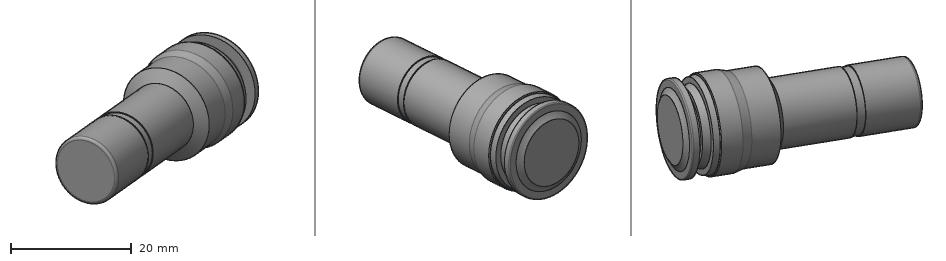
import cadquery as cq

length = 42.65

stem_radius = 6.0
stem_end_round = 0.5
groove_start = 10.2
groove_end = 11.75
groove_depth = 0.15

body_radius = 8.75
body_front_radius = 8.27
shoulder_start = 24.82
shoulder_end = 26.15
body_flare_start = 31.3
body_flare_end = 33.05
body_end = 37.0
body_end_chamfer = 0.15

cap_end = 38.15
cap_base_radius = 8.5
cap_tip_radius = 8.27
cone_end = 39.5
cone_base_radius = 7.2
cone_tip_radius = 6.8

neck_radius = 6.0
neck_fillet = 0.45
flange_radius = 8.55
flange_start = 40.65
flange_end = 41.92
flange_edge_round = 0.2
lip_base_radius = 7.1
lip_tip_radius = 5.93
lip_hollow = 0.05


def make_stem():
    """Plain cylindrical stem with a rounded free end and a shallow groove."""
    stem = cq.Workplane("XZ").circle(stem_radius).extrude(-shoulder_start)
    stem = stem.faces("<Y").edges().fillet(stem_end_round)
    groove = (
        cq.Workplane("XZ", origin=(0, groove_start, 0))
        .circle(stem_radius + groove_depth)
        .circle(stem_radius - groove_depth)
        .extrude(groove_start - groove_end)
    )
    return stem.cut(groove)


def revolve_profile(points):
    """Close (radius, position) points onto the Y axis and revolve them."""
    start = points[0][1]
    end = points[-1][1]
    outline = [(0, start), *points, (0, end)]
    return cq.Workplane("XY").polyline(outline).close().revolve(360, (0, 0, 0), (0, 1, 0))


def make_body():
    """Flared body with its conical shoulder and stepped cap."""
    return revolve_profile([
        (stem_radius, shoulder_start),
        (body_front_radius, shoulder_end),
        (body_front_radius, body_flare_start),
        (body_radius, body_flare_end),
        (body_radius, body_end - body_end_chamfer),
        (body_radius - body_end_chamfer, body_end),
        (cap_base_radius, body_end),
        (cap_tip_radius, cap_end),
        (cone_base_radius, cap_end),
        (cone_tip_radius, cone_end),
    ])


def make_lip():
    """Tapered lip whose flank is a slightly hollow arc from flange to tip."""
    lip_middle = (
        (lip_base_radius + lip_tip_radius) / 2 - lip_hollow,
        (flange_end + length) / 2 - lip_hollow,
    )
    return (
        cq.Workplane("XY")
        .moveTo(0, flange_end)
        .lineTo(lip_base_radius, flange_end)
        .threePointArc(lip_middle, (lip_tip_radius, length))
        .lineTo(0, length)
        .close()
        .revolve(360, (0, 0, 0), (0, 1, 0))
    )


def make_neck():
    """Neck that blends into the underside of the flange through a concave fillet."""
    return (
        cq.Workplane("XY")
        .moveTo(0, cone_end)
        .lineTo(neck_radius, cone_end)
        .lineTo(neck_radius, flange_start - neck_fillet)
        .radiusArc((neck_radius + neck_fillet, flange_start), neck_fillet)
        .lineTo(0, flange_start)
        .close()
        .revolve(360, (0, 0, 0), (0, 1, 0))
    )


def make_collar():
    """Release collar: neck, round-edged flange and tapered lip."""
    flange = revolve_profile([
        (flange_radius, flange_start),
        (flange_radius, flange_end),
    ]).faces(">Y").edges().fillet(flange_edge_round)
    return make_neck().union(flange).union(make_lip())


result = make_stem().union(make_body()).union(make_collar())